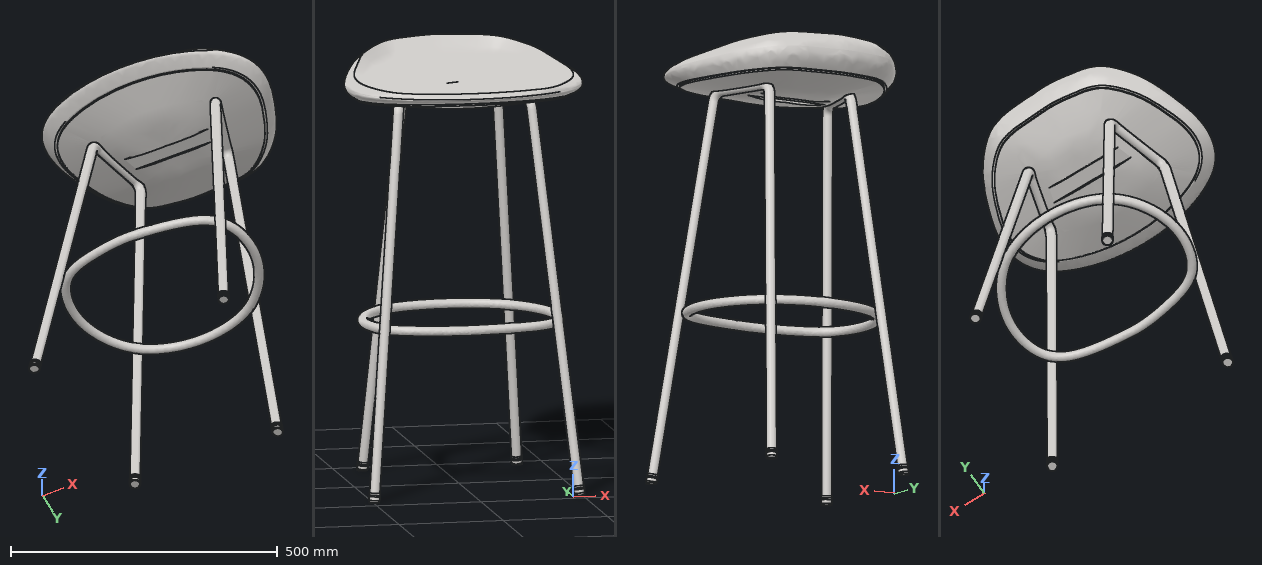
import cadquery as cq
import math


TUBE_DIAMETER = 20

FRONT_FLOOR_POINT = cq.Vector(197, -165, 0)
REAR_FLOOR_POINT = cq.Vector(148.4, 172, 0)
RAIL_HEIGHT = 737
FRONT_CORNER = cq.Vector(126.5, -54.5, RAIL_HEIGHT)
REAR_CORNER = cq.Vector(90.5, 76.5, RAIL_HEIGHT)
BEND_RADIUS = 22

FOOTRING_HEIGHT = 316
FOOTRING_PLAN = [
    (0, -140.4), (90, -130), (158.5, -99), (185, -30),
    (163, 60), (113, 115), (60, 138), (0, 145.7),
]

FOOT_DIAMETER = 21
FOOT_NECK_DIAMETER = 19.5
FOOT_PAD_TOP = 3
FOOT_NECK_BOTTOM = 10
FOOT_NECK_TOP = 13
FOOT_HEIGHT = 17

EQUATOR_PLAN = [
    (0, 179.5), (65, 175.5), (124, 159), (153, 134), (179, 100), (209, 33), (225.1, -33),
    (219, -84), (199, -117), (158, -147), (110, -166), (55, -178), (0, -181.6),
]
RIM_PLAN = [
    (0, 158), (65, 152), (110, 139), (146, 109), (165, 85), (187, 33), (207, -33),
    (201, -84), (181, -117), (149, -147), (104, -162), (52, -170), (0, -172.5),
]
SEAM_SCALE_X = 0.915
SEAM_SCALE_Y = 0.87
SEAM_SHIFT_Y = 4.5
SEAM_PLAN = [(SEAM_SCALE_X * x, SEAM_SCALE_Y * y + SEAM_SHIFT_Y) for x, y in EQUATOR_PLAN]

UPPER_FULLNESS = 0.75
LOWER_FULLNESS = 0.83

DISH_OUTER_SCALE = 0.72
DISH_INNER_SCALE = 0.35
DISH_INNER_HEIGHT = 767
DISH_BOTTOM = 765

SHELL_SCALE = 0.975
SHELL_EDGE_DEPTH = 3.5

BELLY_OUTER_SCALE = 0.6
BELLY_INNER_SCALE = 0.36
BELLY_INNER_HEIGHT = 724.5
BELLY_BOTTOM = 722

CONTACT_SCALE = 0.6
CONTACT_HEIGHT = 749

GROOVE_WIDTH = 31
GROOVE_CENTER_Y = 12.5
GROOVE_TOP = RAIL_HEIGHT - TUBE_DIAMETER / 2

RIM_HEIGHT = (794.1, 0.171, 0.000287)
EQUATOR_HEIGHT = (774.5, 0.0867, 0.000158)
SEAM_HEIGHT = (746.8, 0.017, 0.00025)
DISH_OUTER_HEIGHT = (775, 0.04, 0)
BELLY_OUTER_HEIGHT = (734, 0, -0.0005)


def profile(middle_height, slope, curvature):
    """Height as a function of y."""
    return lambda y: middle_height + slope * y + curvature * y**2


def level(height):
    return profile(height, 0, 0)


def closed_curve(half_plan, height):
    """Smooth closed curve through a half plan and its mirror image, at the height given for each y."""
    plan = half_plan + [(-x, y) for x, y in reversed(half_plan[1:-1])]
    points = [cq.Vector(x, y, height(y)) for x, y in plan]
    return cq.Wire.assembleEdges([cq.Edge.makeSpline(points, periodic=True)])


def tube(path, start, direction):
    return cq.Workplane(cq.Plane(origin=start, normal=direction)).circle(TUBE_DIAMETER / 2).sweep(path)


def bend(before, corner, after):
    """Start, middle and end of the arc that rounds a corner of a tube axis."""
    to_before = (before - corner).normalized()
    to_after = (after - corner).normalized()
    half_angle = to_before.getAngle(to_after) / 2
    tangent_length = BEND_RADIUS / math.tan(half_angle)
    middle_distance = BEND_RADIUS / math.sin(half_angle) - BEND_RADIUS
    middle = corner + (to_before + to_after).normalized() * middle_distance
    return corner + to_before * tangent_length, middle, corner + to_after * tangent_length


def leg_end(floor_point, corner):
    return floor_point + (corner - floor_point).normalized() * FOOT_HEIGHT


def side_frame():
    """Front leg, seat rail and rear leg of the +X side, bent from one tube."""
    front_end = leg_end(FRONT_FLOOR_POINT, FRONT_CORNER)
    rear_end = leg_end(REAR_FLOOR_POINT, REAR_CORNER)
    front_bend = bend(front_end, FRONT_CORNER, REAR_CORNER)
    rear_bend = bend(FRONT_CORNER, REAR_CORNER, rear_end)
    path = cq.Wire.assembleEdges([
        cq.Edge.makeLine(front_end, front_bend[0]),
        cq.Edge.makeThreePointArc(*front_bend),
        cq.Edge.makeLine(front_bend[-1], rear_bend[0]),
        cq.Edge.makeThreePointArc(*rear_bend),
        cq.Edge.makeLine(rear_bend[-1], rear_end),
    ])
    return tube(path, front_end, FRONT_CORNER - front_end)


def footring():
    path = closed_curve(FOOTRING_PLAN, level(FOOTRING_HEIGHT))
    front_middle = cq.Vector(*FOOTRING_PLAN[0], FOOTRING_HEIGHT)
    return tube(path, front_middle, cq.Vector(1, 0, 0))


right_side = side_frame()
frame = right_side.union(right_side.mirror("YZ")).union(footring())


def foot(floor_point, corner):
    """Foot along the leg axis, cut flat at the floor."""
    pad_start = -FOOT_DIAMETER / 2
    discs = [
        (FOOT_NECK_DIAMETER, pad_start, FOOT_PAD_TOP),
        (FOOT_DIAMETER, FOOT_PAD_TOP, FOOT_NECK_BOTTOM),
        (FOOT_NECK_DIAMETER, FOOT_NECK_BOTTOM, FOOT_NECK_TOP),
        (FOOT_DIAMETER, FOOT_NECK_TOP, FOOT_HEIGHT),
    ]
    plane = cq.Plane(origin=floor_point, normal=corner - floor_point)
    body = cq.Workplane(plane)
    for diameter, start, end in discs:
        disc = cq.Workplane(plane).workplane(offset=start).circle(diameter / 2).extrude(end - start)
        body = body.union(disc)
    block_size = 4 * FOOT_DIAMETER
    below_floor = cq.Workplane(origin=floor_point).rect(block_size, block_size).extrude(-block_size)
    return body.cut(below_floor)


feet = []
for floor_point, corner in ((FRONT_FLOOR_POINT, FRONT_CORNER), (REAR_FLOOR_POINT, REAR_CORNER)):
    right_foot = foot(floor_point, corner)
    feet += [right_foot, right_foot.mirror("YZ")]


def band(*sections):
    """Faces of a smooth surface through closed curves, which may end in a point."""
    return cq.occ_impl.shapes.loft(*sections, cap=False).Faces()


def closed_solid(faces):
    return cq.Workplane(cq.Solid.makeSolid(cq.Shell.makeShell(faces)))


def scaled(plan, factor):
    return [(factor * x, factor * y) for x, y in plan]


def flank(edge_plan, edge_height, fullness):
    """Curve halfway in height between the equator and an edge, bulging towards the equator."""
    plan = [
        (fullness * xq + (1 - fullness) * xe, fullness * yq + (1 - fullness) * ye)
        for (xq, yq), (xe, ye) in zip(EQUATOR_PLAN, edge_plan)
    ]
    return closed_curve(plan, lambda y: (equator_height(y) + edge_height(y)) / 2)


rim_height = profile(*RIM_HEIGHT)
equator_height = profile(*EQUATOR_HEIGHT)
seam_height = profile(*SEAM_HEIGHT)

shell_plan = scaled(SEAM_PLAN, SHELL_SCALE)
shell_edge = closed_curve(shell_plan, seam_height)
contact = band(
    shell_edge,
    closed_curve(scaled(shell_plan, CONTACT_SCALE), level(CONTACT_HEIGHT)),
    cq.Vertex.makeVertex(0, 0, CONTACT_HEIGHT),
)


def make_cushion():
    seam = closed_curve(SEAM_PLAN, seam_height)
    equator = closed_curve(EQUATOR_PLAN, equator_height)
    rim = closed_curve(RIM_PLAN, rim_height)
    lower_flank = band(seam, flank(SEAM_PLAN, seam_height, LOWER_FULLNESS), equator)
    upper_flank = band(equator, flank(RIM_PLAN, rim_height, UPPER_FULLNESS), rim)
    ledge = band(seam, shell_edge)
    dish = band(
        rim,
        closed_curve(scaled(RIM_PLAN, DISH_OUTER_SCALE), profile(*DISH_OUTER_HEIGHT)),
        closed_curve(scaled(RIM_PLAN, DISH_INNER_SCALE), level(DISH_INNER_HEIGHT)),
        cq.Vertex.makeVertex(0, 0, DISH_BOTTOM),
    )
    return closed_solid(lower_flank + upper_flank + dish + ledge + contact)


def make_shell():
    lower_edge = closed_curve(shell_plan, lambda y: seam_height(y) - SHELL_EDGE_DEPTH)
    belly = band(
        lower_edge,
        closed_curve(scaled(shell_plan, BELLY_OUTER_SCALE), profile(*BELLY_OUTER_HEIGHT)),
        closed_curve(scaled(shell_plan, BELLY_INNER_SCALE), level(BELLY_INNER_HEIGHT)),
        cq.Vertex.makeVertex(0, 0, BELLY_BOTTOM),
    )
    body = closed_solid(band(shell_edge, lower_edge) + belly + contact)
    groove_length = 2 * max(x for x, y in shell_plan)
    groove = (
        cq.Workplane(origin=(0, GROOVE_CENTER_Y, GROOVE_TOP))
        .rect(groove_length, GROOVE_WIDTH).extrude(-TUBE_DIAMETER)
    )
    return body.cut(groove).cut(frame)


cushion = make_cushion()
shell = make_shell()

result = cq.Compound.makeCompound([
    cushion.val(),
    *shell.solids().vals(),
    *frame.solids().vals(),
    *[each.solids().val() for each in feet],
])